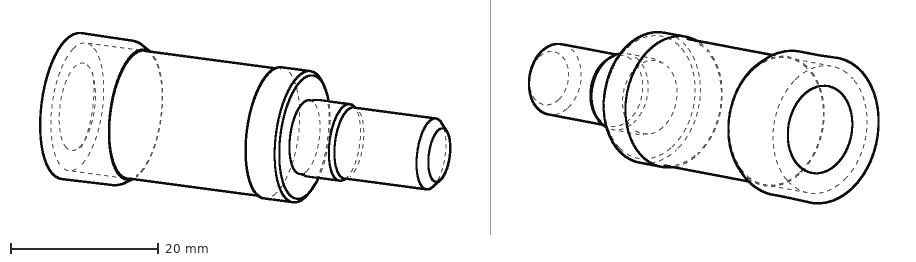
import cadquery as cq
import math

TOTAL_LENGTH = 55.0

CAP_RADIUS = 10.0
CAP_LENGTH = 9.85
CAP_FRONT_FILLET = 0.35
TAPER_END_X = 8.2
TAPER_END_RADIUS = 9.9
CAP_BACK_RADIUS = 9.1
BACK_CORNER_FILLET = 1.0
BACK_EDGE_CHAMFER = 0.15

MOUTH_RADIUS = 8.4
MOUTH_ROUND_RADIUS = 1.55
MOUTH_CONE_ANGLE = math.radians(30)
MOUTH_FLOOR_RADIUS = 6.0

BARREL_RADIUS = 8.75
COLLAR_RADIUS = 18.0 / 2
COLLAR_START_X = 30.2
COLLAR_END_X = 35.0
COLLAR_CHAMFER_LENGTH = 0.45
COLLAR_CHAMFER_DEPTH = 0.55
BARREL_FILLET = 0.15

NECK_RADIUS = 5.05
NECK_END_X = 35.5
PILOT_RADIUS = 10.5 / 2
PILOT_START_X = 36.15
PILOT_END_X = 40.9
SHAFT_RADIUS = 9.75 / 2
SHAFT_START_X = 41.6
SHAFT_TIP_CHAMFER = 1.2


def mouth_round_point(angle):
    """Point on the mouth's rounded lip, turned by angle from the flat front face."""
    return (
        MOUTH_ROUND_RADIUS * (1 - math.cos(angle)),
        MOUTH_RADIUS - MOUTH_ROUND_RADIUS * math.sin(angle),
    )


CONE_START_X, CONE_START_RADIUS = mouth_round_point(MOUTH_CONE_ANGLE)
CONE_DEPTH = (CONE_START_RADIUS - MOUTH_FLOOR_RADIUS) * math.tan(MOUTH_CONE_ANGLE)
BARREL_START_X = CONE_START_X + CONE_DEPTH


def revolve_about_x(profile):
    return profile.close().revolve(360, (0, 0, 0), (1, 0, 0))


def make_cap():
    """Tapered cap with a dished mouth, bored from behind to seat the barrel."""
    arc_inset = CAP_FRONT_FILLET * (1 - math.sqrt(0.5))
    profile = (
        cq.Workplane("XY")
        .moveTo(0, MOUTH_RADIUS)
        .lineTo(0, CAP_RADIUS - CAP_FRONT_FILLET)
        .threePointArc((arc_inset, CAP_RADIUS - arc_inset), (CAP_FRONT_FILLET, CAP_RADIUS))
        .lineTo(TAPER_END_X, TAPER_END_RADIUS)
        .lineTo(CAP_LENGTH - BACK_EDGE_CHAMFER, CAP_BACK_RADIUS)
        .lineTo(CAP_LENGTH, CAP_BACK_RADIUS - BACK_EDGE_CHAMFER)
        .lineTo(CAP_LENGTH, BARREL_RADIUS)
        .lineTo(BARREL_START_X, BARREL_RADIUS)
        .lineTo(BARREL_START_X, MOUTH_FLOOR_RADIUS)
        .lineTo(CONE_START_X, CONE_START_RADIUS)
        .threePointArc(mouth_round_point(MOUTH_CONE_ANGLE / 2), (0, MOUTH_RADIUS))
    )
    back_corner = cq.selectors.BoxSelector(
        (TAPER_END_X - BACK_EDGE_CHAMFER, -2 * CAP_RADIUS, -2 * CAP_RADIUS),
        (TAPER_END_X + BACK_EDGE_CHAMFER, 2 * CAP_RADIUS, 2 * CAP_RADIUS),
        boundingbox=True,
    )
    return revolve_about_x(profile).edges(back_corner).fillet(BACK_CORNER_FILLET).solids()


def make_holder():
    """Barrel, collar and stepped shank in one turned piece."""
    arc_inset = BARREL_FILLET * (1 - math.sqrt(0.5))
    profile = (
        cq.Workplane("XY")
        .moveTo(BARREL_START_X, 0)
        .lineTo(BARREL_START_X, BARREL_RADIUS)
        .lineTo(COLLAR_START_X - BARREL_FILLET, BARREL_RADIUS)
        .threePointArc(
            (COLLAR_START_X - arc_inset, BARREL_RADIUS + arc_inset),
            (COLLAR_START_X, BARREL_RADIUS + BARREL_FILLET),
        )
        .lineTo(COLLAR_START_X, COLLAR_RADIUS)
        .lineTo(COLLAR_END_X - COLLAR_CHAMFER_LENGTH, COLLAR_RADIUS)
        .lineTo(COLLAR_END_X, COLLAR_RADIUS - COLLAR_CHAMFER_DEPTH)
        .lineTo(COLLAR_END_X, NECK_RADIUS)
        .lineTo(NECK_END_X, NECK_RADIUS)
        .lineTo(PILOT_START_X, PILOT_RADIUS)
        .lineTo(PILOT_END_X, PILOT_RADIUS)
        .lineTo(SHAFT_START_X, SHAFT_RADIUS)
        .lineTo(TOTAL_LENGTH - SHAFT_TIP_CHAMFER, SHAFT_RADIUS)
        .lineTo(TOTAL_LENGTH, SHAFT_RADIUS - SHAFT_TIP_CHAMFER)
        .lineTo(TOTAL_LENGTH, 0)
    )
    return revolve_about_x(profile)


cap = make_cap()
holder = make_holder()

result = cq.Compound.makeCompound([cap.val(), holder.val()])